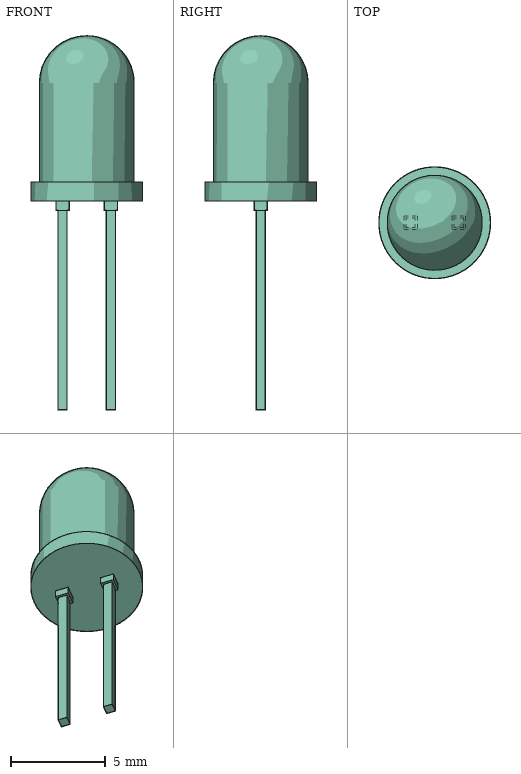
import cadquery as cq

total_height = 19.7
lens_diameter = 5.0
lens_radius = lens_diameter / 2

flange_diameter = 5.9
flange_height = 1.0

lead_pitch = 2.55
lead_width = 0.5
lead_length = 10.5
shoulder_width = 0.7
shoulder_height = 0.5

shoulder_bottom = lead_length
flange_bottom = shoulder_bottom + shoulder_height
flange_top = flange_bottom + flange_height
dome_bottom = total_height - lens_radius


def make_body():
    """Revolve the flange, cylindrical lens and hemispherical dome about Z."""
    dome_middle = lens_radius * 2 ** -0.5
    return (
        cq.Workplane("XZ")
        .moveTo(0, flange_bottom)
        .lineTo(flange_diameter / 2, flange_bottom)
        .lineTo(flange_diameter / 2, flange_top)
        .lineTo(lens_radius, flange_top)
        .lineTo(lens_radius, dome_bottom)
        .threePointArc((dome_middle, dome_bottom + dome_middle), (0, total_height))
        .close()
        .revolve(360, (0, 0, 0), (0, 1, 0))
    )


def make_lead(x):
    """Square lead and its shoulder, centred at the given X position."""
    lead = cq.Workplane("XY").center(x, 0).rect(lead_width, lead_width).extrude(lead_length)
    shoulder = (
        cq.Workplane("XY", origin=(x, 0, shoulder_bottom))
        .rect(shoulder_width, shoulder_width)
        .extrude(shoulder_height)
    )
    return lead.union(shoulder)


result = make_body()
for side in (-1, 1):
    result = result.union(make_lead(side * lead_pitch / 2))